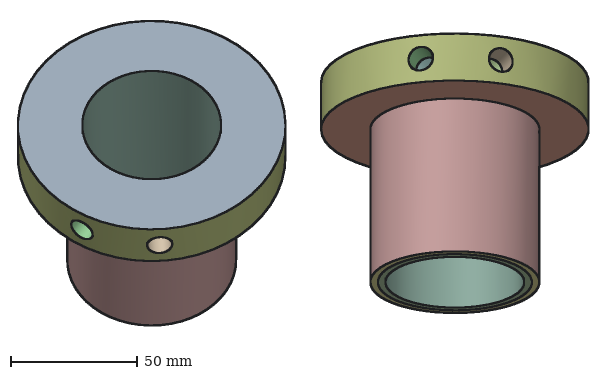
import cadquery as cq
import math

flange_diameter = 106.0
flange_thickness = 20.0
sleeve_diameter = 67.0
sleeve_length = 65.0
bore_diameter = 55.0

hole_diameter = 10.0
hole_straight_depth = 12.1
hole_tip_angle = 90.0
hole_angles = (10.0, 45.0)

total_height = sleeve_length + flange_thickness
liner_diameter = (bore_diameter + sleeve_diameter) / 2
flange_radius = flange_diameter / 2
hole_radius = hole_diameter / 2
hole_tip_length = hole_radius / math.tan(math.radians(hole_tip_angle / 2))
hole_height = sleeve_length + flange_thickness / 2


def ring(outer_diameter, inner_diameter, length, base_height):
    """Bored cylinder standing on the given height."""
    return (
        cq.Workplane("XY", origin=(0, 0, base_height))
        .circle(outer_diameter / 2)
        .circle(inner_diameter / 2)
        .extrude(length)
    )


def rim_hole_cutter(angle):
    """Drill shape entering the rim radially at the given angle from -Y."""
    cone_base = flange_radius - hole_straight_depth
    cone_apex = cone_base - hole_tip_length
    drill = (
        cq.Workplane("XY")
        .moveTo(0, -flange_radius)
        .lineTo(hole_radius, -flange_radius)
        .lineTo(hole_radius, -cone_base)
        .lineTo(0, -cone_apex)
        .close()
        .revolve(360, (0, 0), (0, 1))
    )
    return drill.rotate((0, 0, 0), (0, 0, 1), angle).translate((0, 0, hole_height))


def flanged_bush():
    """Thin full-length liner with a drilled flange at its upper end."""
    liner = ring(liner_diameter, bore_diameter, total_height, 0)
    flange = ring(flange_diameter, bore_diameter, flange_thickness, sleeve_length)
    bush = liner.union(flange)
    for angle in hole_angles:
        bush = bush.cut(rim_hole_cutter(angle))
    return bush


def outer_sleeve():
    """Plain sleeve around the liner, ending against the flange underside."""
    return ring(sleeve_diameter, liner_diameter, sleeve_length, 0)


bush = flanged_bush()
sleeve = outer_sleeve()

result = cq.Compound.makeCompound([bush.val(), sleeve.val()])